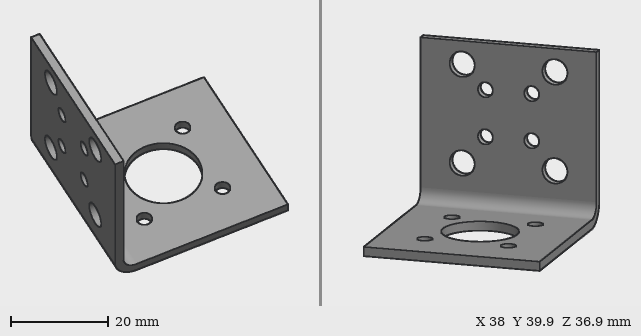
import cadquery as cq

width = 38.0
depth = 39.85
height = 36.87
thickness = 2.0
inner_bend_radius = 3.0
outer_bend_radius = inner_bend_radius + thickness

mount_hole_diameter = 5.4
mount_spacing_x = 20.0
mount_spacing_z = 21.0
mount_top_margin = 5.0
small_hole_diameter = 3.2
small_spacing = 10.0
small_top_margin = 10.0
mount_center_z = height - mount_top_margin - mount_spacing_z / 2
small_center_z = height - small_top_margin - small_spacing / 2

bore_diameter = 16.0
bore_back_margin = 19.0
bore_center_y = depth - bore_back_margin
bore_screw_diameter = 3.2
bore_screw_spacing = 18.0


def bent_sheet():
    """L-shaped sheet with its outer corner at Y = 0, Z = 0, centred on X."""
    blank = cq.Workplane("XY").box(width, depth, height, centered=(True, False, False))
    blank = blank.edges("|X and <Y and <Z").fillet(outer_bend_radius)
    hollow = (
        cq.Workplane("XY")
        .box(width, depth, height, centered=(True, False, False))
        .edges("|X and <Y and <Z")
        .fillet(inner_bend_radius)
        .translate((0, thickness, thickness))
    )
    return blank.cut(hollow)


def upright_holes(diameter, spacing_x, spacing_z, center_z):
    """Four cylinders through the upright flange, in a rectangle."""
    return (
        cq.Workplane("XZ")
        .center(0, center_z)
        .rect(spacing_x, spacing_z, forConstruction=True)
        .vertices()
        .circle(diameter / 2)
        .extrude(-thickness)
    )


def base_holes():
    """Central bore and its four screw holes, through the base flange."""
    base = cq.Workplane("XY").center(0, bore_center_y)
    bore = base.circle(bore_diameter / 2).extrude(thickness)
    screws = (
        base.rect(bore_screw_spacing, bore_screw_spacing, forConstruction=True)
        .vertices()
        .circle(bore_screw_diameter / 2)
        .extrude(thickness)
    )
    return bore.union(screws)


result = (
    bent_sheet()
    .cut(upright_holes(mount_hole_diameter, mount_spacing_x, mount_spacing_z, mount_center_z))
    .cut(upright_holes(small_hole_diameter, small_spacing, small_spacing, small_center_z))
    .cut(base_holes())
)